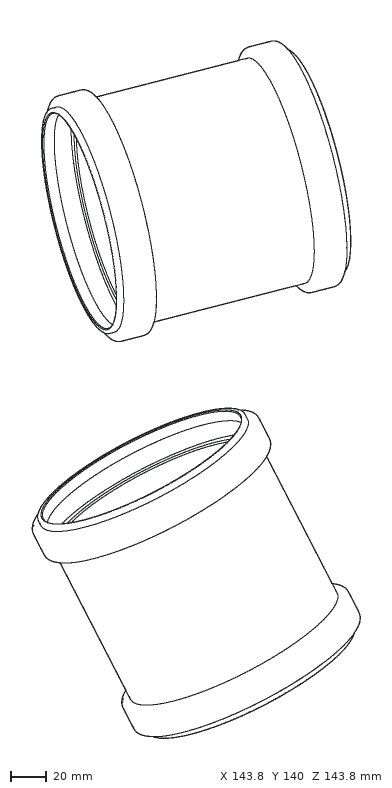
import cadquery as cq

length = 140.0
collar_diameter = 143.8
groove_diameter = 138.0
pipe_diameter = 131.9
lip_bore = 126.0
body_bore = 125.7
stop_bore = 119.6
stop_width = 4.0

collar_setback = 3.6
collar_width = 18.5
collar_draft = 0.6
collar_wall = 3.2
collar_round = 2.2
lip_round = 0.6
mouth_chamfer = 0.6
groove_chamfer = 1.0

half_length = length / 2
collar_outer = half_length - collar_setback
collar_inner = collar_outer - collar_width
groove_outer = collar_outer - collar_wall
groove_inner = collar_inner + collar_wall


def cylinder(diameter, y_start, y_end):
    """Solid cylinder on the Y axis between two stations."""
    height = y_end - y_start
    return cq.Workplane("XZ", origin=(0, y_end, 0)).circle(diameter / 2).extrude(height)


def revolved(profile):
    """Solid of revolution about Y from (radius, y) points."""
    return cq.Workplane("XY").polyline(profile).close().revolve(360, (0, 0), (0, 1))


def collar():
    """Drafted collar with a rounded crest."""
    crest = collar_diameter / 2
    root = pipe_diameter / 2
    profile = [
        (0, collar_inner),
        (root, collar_inner),
        (crest, collar_inner + collar_draft),
        (crest, collar_outer - collar_draft),
        (root, collar_outer),
        (0, collar_outer),
    ]
    crest_edges = cq.selectors.RadiusNthSelector(-1)
    return revolved(profile).edges("%CIRCLE").edges(crest_edges).fillet(collar_round)


def end_half():
    """Outer shape of the half on the +Y side."""
    body = cylinder(pipe_diameter, 0, collar_inner)
    lip = cylinder(pipe_diameter, collar_outer, half_length)
    lip = lip.faces(">Y").edges().fillet(lip_round)
    return body.union(collar()).union(lip)


def socket_cut():
    """Space inside the +Y half: body bore, seal groove and chamfered mouth."""
    bore_radius = body_bore / 2
    groove_radius = groove_diameter / 2
    mouth_radius = lip_bore / 2
    profile = [
        (0, stop_width / 2),
        (bore_radius, stop_width / 2),
        (bore_radius, groove_inner - groove_chamfer),
        (bore_radius + groove_chamfer, groove_inner),
        (groove_radius, groove_inner),
        (groove_radius, groove_outer),
        (mouth_radius, groove_outer),
        (mouth_radius, half_length - mouth_chamfer),
        (mouth_radius + mouth_chamfer, half_length),
        (0, half_length),
    ]
    return revolved(profile)


half = end_half().cut(socket_cut())
half = half.cut(cylinder(stop_bore, 0, half_length))
result = half.union(half.mirror("XZ"))